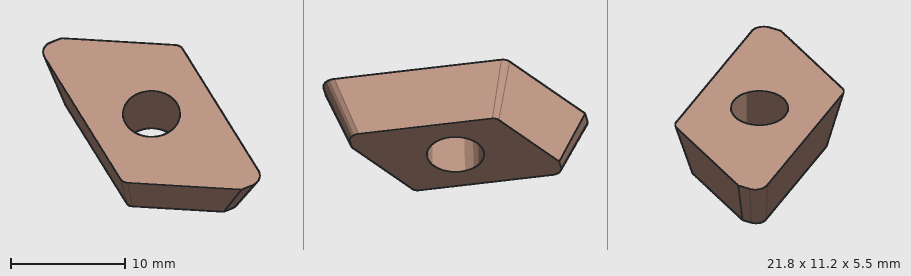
import cadquery as cq
import math

length = 21.8
width = 11.2
thickness = 5.5
bottom_scale = 0.8
flat_end_y = 3.35
blunt_corner_x = 5.55
tip_radius = 1.18
blunt_radius = 0.76
hole_diameter = 5.0

half_length = length / 2
half_width = width / 2


def outline(scale, z):
    """Closed outline of the insert, scaled about the Z axis, at height z."""
    slant = math.atan2(flat_end_y + half_width, half_length - blunt_corner_x)
    setback = blunt_radius * math.tan(slant / 2)
    slant_x = math.cos(slant)
    slant_y = math.sin(slant)

    blunt_start = (blunt_corner_x - setback, -half_width)
    blunt_end = (blunt_corner_x + setback * slant_x, -half_width + setback * slant_y)
    blunt_middle = (
        blunt_start[0] + blunt_radius * math.sin(slant / 2),
        -half_width + blunt_radius * (1 - math.cos(slant / 2)),
    )

    tip_start = (half_length, half_width - tip_radius)
    tip_inset = tip_radius * (1 - math.sqrt(0.5))
    tip_middle = (half_length - tip_inset, half_width - tip_inset)
    tip_end = (half_length - tip_radius, half_width)

    def place(point, turn):
        return (turn * scale * point[0], turn * scale * point[1])

    profile = cq.Workplane("XY", origin=(0, 0, z)).moveTo(*place(blunt_start, 1))
    for turn in (1, -1):
        profile = profile.threePointArc(place(blunt_middle, turn), place(blunt_end, turn))
        profile = profile.lineTo(*place((half_length, flat_end_y), turn))
        profile = profile.lineTo(*place(tip_start, turn))
        profile = profile.threePointArc(place(tip_middle, turn), place(tip_end, turn))
        if turn == 1:
            profile = profile.lineTo(*place(blunt_start, -1))
    return profile.close().val()


def tapered_body():
    bottom = outline(bottom_scale, 0)
    top = outline(1, thickness)
    return cq.Workplane(cq.Solid.makeLoft([bottom, top], True))


def through_hole():
    return cq.Workplane("XY").circle(hole_diameter / 2).extrude(thickness)


result = tapered_body().cut(through_hole())